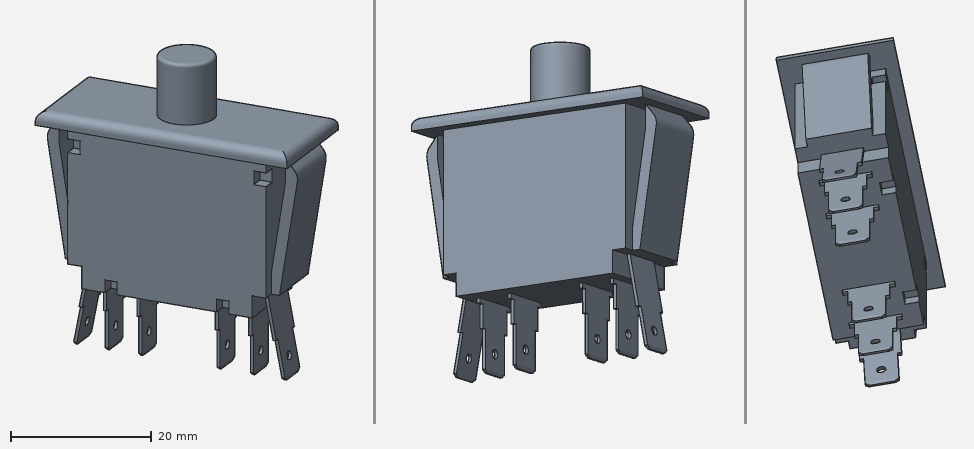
import cadquery as cq
import math


bezel_length = 39.8
bezel_width = 17.0
bezel_lip = 0.6
bezel_round = 1.45
bezel_height = bezel_lip + bezel_round

block_length = 31.35
block_width = 13.15
block_height = 21.2
base_length = 26.95
base_height = 3.4
base_z = -(block_height + base_height)

notch_size = 1.95
notch_depth = 2.0
side_notch_height = 2.1
side_notch_top = -2.05
base_notch_x = 8.85

clip_width = 9.53
clip_gap = 0.05
clip_tip_x = 17.9
clip_inner_bend_z = -3.62
clip_corner_x = 19.9
clip_corner_z = -2.4
clip_corner_radius = 2.1
clip_lean = math.tan(math.radians(9))

button_diameter = 8.5
bore_diameter = 8.55
button_rise = 9.2
button_round = 0.5

terminal_thickness = 0.5
terminal_drop = 10.65
blade_width = 4.93
neck_width = 6.1
shoulder_width = 7.6
shoulder_height = 0.75
blade_length = 6.35
tip_height = 0.5
tip_width = 3.75
tip_thickness = 0.3
hole_diameter = 1.3
hole_height = 3.1
straight_terminal_x = (6.2, 11.5)
slant_angle = 11.0
slant_tip_x = 16.55
slant_stock_length = 15.8


def block(length, width, height, bottom_z):
    """Box centred on the Z axis, standing on bottom_z."""
    return cq.Workplane("XY").workplane(offset=bottom_z).box(
        length, width, height, centered=(True, True, False)
    )


def make_bezel():
    bezel = block(bezel_length, bezel_width, bezel_height, 0)
    return bezel.faces(">Z").edges().fillet(bezel_round)


def make_clip():
    """Spring clip on the +X end: leaning arm with a bevelled free tip."""
    clip_bottom_x = clip_corner_x - clip_lean * (block_height + clip_corner_z)
    wall_x = block_length / 2
    inner_root_z = clip_inner_bend_z - (clip_tip_x - wall_x) / clip_lean
    arm = (
        cq.Workplane("XZ")
        .moveTo(clip_tip_x, -clip_gap)
        .lineTo(clip_corner_x, clip_corner_z)
        .lineTo(clip_bottom_x, -block_height)
        .lineTo(wall_x, -block_height)
        .lineTo(wall_x, inner_root_z)
        .lineTo(clip_tip_x, clip_inner_bend_z)
        .close()
        .extrude(clip_width / 2, both=True)
    )
    return arm.edges("|Y").edges(">X").fillet(clip_corner_radius)


def make_notches():
    """Cutters for the two end notches and the two base notches."""
    notch_y = -(block_width - notch_depth) / 2
    side = block(notch_size, notch_depth, side_notch_height, side_notch_top - side_notch_height)
    base = block(notch_size, notch_depth, notch_size, base_z)
    side_x = (block_length - notch_size) / 2
    cutters = cq.Workplane("XY")
    for end in (-1, 1):
        cutters = cutters.add(side.translate((end * side_x, notch_y, 0)))
        cutters = cutters.add(base.translate((end * base_notch_x, notch_y, 0)))
    return cutters.combine()


def make_housing():
    clip = make_clip()
    bore = cq.Workplane("XY").circle(bore_diameter / 2).extrude(bezel_height)
    return (
        make_bezel()
        .union(block(block_length, block_width, block_height, -block_height))
        .union(block(base_length, block_width, base_height, base_z))
        .union(clip)
        .union(clip.mirror("YZ"))
        .cut(make_notches())
        .cut(bore)
    )


def make_button():
    """Round plunger standing on the floor of the bore."""
    plunger = cq.Workplane("XY").circle(button_diameter / 2).extrude(bezel_height + button_rise)
    return plunger.faces(">Z").edges().fillet(button_round)


def make_terminal(length):
    """Upright blade terminal with its tip at the origin."""
    tip = (
        cq.Workplane("XY")
        .rect(tip_thickness, tip_width)
        .workplane(offset=tip_height)
        .rect(terminal_thickness, blade_width)
        .loft()
    )
    blade = block(terminal_thickness, blade_width, blade_length - tip_height, tip_height)
    neck = block(terminal_thickness, neck_width, length - blade_length, blade_length)
    hole = (
        cq.Workplane("YZ")
        .center(0, hole_height)
        .circle(hole_diameter / 2)
        .extrude(terminal_thickness, both=True)
    )
    return tip.union(blade).union(neck).cut(hole)


def make_straight_terminal(x):
    """Vertical terminal whose shoulder seats against the base."""
    shoulder = block(
        terminal_thickness, shoulder_width, shoulder_height, terminal_drop - shoulder_height
    )
    terminal = make_terminal(terminal_drop).union(shoulder)
    return terminal.translate((x, 0, base_z - terminal_drop))


def make_slanted_terminal(end):
    """Terminal splayed outward, trimmed flush with the step under the block."""
    tip_dip = tip_thickness / 2 * math.sin(math.radians(slant_angle))
    terminal = (
        make_terminal(slant_stock_length)
        .rotate((0, 0, 0), (0, 1, 0), -end * slant_angle)
        .translate((end * slant_tip_x, 0, base_z - terminal_drop + tip_dip))
    )
    above_step = block(block_length, block_width, block_height, -block_height)
    return terminal.cut(above_step)


housing = make_housing()
button = make_button()
straight_terminals = []
slanted_terminals = []
for end in (-1, 1):
    slanted_terminals.append(make_slanted_terminal(end))
    for x in straight_terminal_x:
        straight_terminals.append(make_straight_terminal(end * x))

terminals = straight_terminals + slanted_terminals
result = cq.Compound.makeCompound(
    [body.solids().val() for body in (housing, button, *terminals)]
)